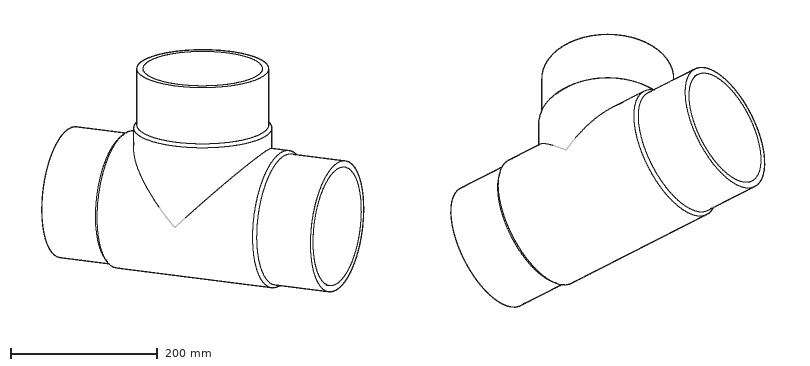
import cadquery as cq

spigot_diameter = 180.0
bore_diameter = 162.8
body_diameter = 188.6
end_reach = 200.0
body_reach = 120.0

spigot_radius = spigot_diameter / 2
bore_radius = bore_diameter / 2
body_radius = body_diameter / 2
body_chamfer = body_radius - spigot_radius


def outer_arm(direction):
    """Solid arm from the axis crossing outward: thick body, chamfered step, then spigot."""
    plane = cq.Plane(origin=(0, 0, 0), normal=direction)
    body = cq.Workplane(plane).circle(body_radius).extrude(body_reach)
    body = body.faces(cq.selectors.DirectionMinMaxSelector(cq.Vector(direction))).chamfer(body_chamfer)
    spigot = cq.Workplane(plane).circle(spigot_radius).extrude(end_reach)
    return body.union(spigot)


def bore(direction, start, end):
    """Round cutter along one axis between two distances from the axis crossing."""
    plane = cq.Plane(origin=(0, 0, 0), normal=direction)
    return cq.Workplane(plane).workplane(offset=start).circle(bore_radius).extrude(end - start)


run_axis = (1, 0, 0)
branch_axis = (0, 0, 1)

run = outer_arm(run_axis)
run = run.union(run.mirror("YZ"))
tee = run.union(outer_arm(branch_axis))

run_bore = bore(run_axis, -end_reach, end_reach)
branch_bore = bore(branch_axis, 0, end_reach)
result = tee.cut(run_bore).cut(branch_bore)